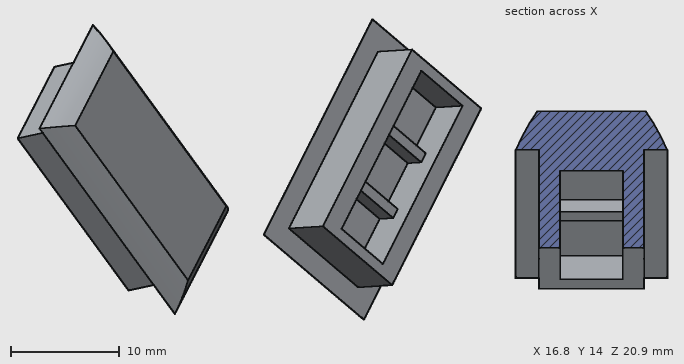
import cadquery as cq
import math

tilt = math.degrees(math.atan(1.5))

cap_length = 24.0
cap_width = 14.0
cap_height = 2.0
cap_inset = 2.0
side_bulge = 0.08

stem_length = 19.68
stem_width = 9.68
stem_height = 5.0

pocket_length = 17.6
pocket_width = 5.76
pocket_depth = 3.95
rib_count = 2
rib_thickness = 1.0
rib_height = 2.0

slope = math.radians(tilt)
seat = cq.Plane(
    origin=(0, 0, 0),
    xDir=(math.cos(slope), 0, -math.sin(slope)),
    normal=(math.sin(slope), 0, math.cos(slope)),
)


def cap_profile(plane_name, base, depth):
    """Bar with two bowed, inward-leaning sides, extruded symmetrically."""
    bottom = base / 2
    top = bottom - cap_inset
    side_length = math.hypot(cap_inset, cap_height)
    bow_x = bottom - cap_inset / 2 + side_bulge * cap_height / side_length
    bow_z = cap_height / 2 + side_bulge * cap_inset / side_length
    return (
        cq.Workplane(plane_name)
        .moveTo(-bottom, 0)
        .lineTo(bottom, 0)
        .threePointArc((bow_x, bow_z), (top, cap_height))
        .lineTo(-top, cap_height)
        .threePointArc((-bow_x, bow_z), (-bottom, 0))
        .close()
        .extrude(depth / 2, both=True)
    )


def make_cap():
    """Mitred cap: the overlap of a lengthwise and a crosswise bar."""
    lengthwise = cap_profile("XZ", cap_length, cap_width)
    crosswise = cap_profile("YZ", cap_width, cap_length)
    return lengthwise.intersect(crosswise)


def make_stem():
    """Block below the cap with an open pocket divided by low cross ribs."""
    centred_above = (True, True, False)
    stem = (
        cq.Workplane("XY")
        .workplane(offset=-stem_height)
        .box(stem_length, stem_width, stem_height, centered=centred_above)
    )
    pocket = (
        cq.Workplane("XY")
        .workplane(offset=-stem_height)
        .box(pocket_length, pocket_width, pocket_depth, centered=centred_above)
    )
    stem = stem.cut(pocket)

    bay_length = (pocket_length - rib_count * rib_thickness) / (rib_count + 1)
    rib_pitch = bay_length + rib_thickness
    floor = pocket_depth - stem_height
    ribs = (
        cq.Workplane("XY")
        .workplane(offset=floor - rib_height)
        .rarray(rib_pitch, 0.2, rib_count, 1)
        .box(rib_thickness, pocket_width, rib_height, centered=centred_above)
    )
    return stem.union(ribs)


upright = make_cap().union(make_stem())
result = cq.Workplane("XY").newObject([upright.val().moved(cq.Location(seat))])